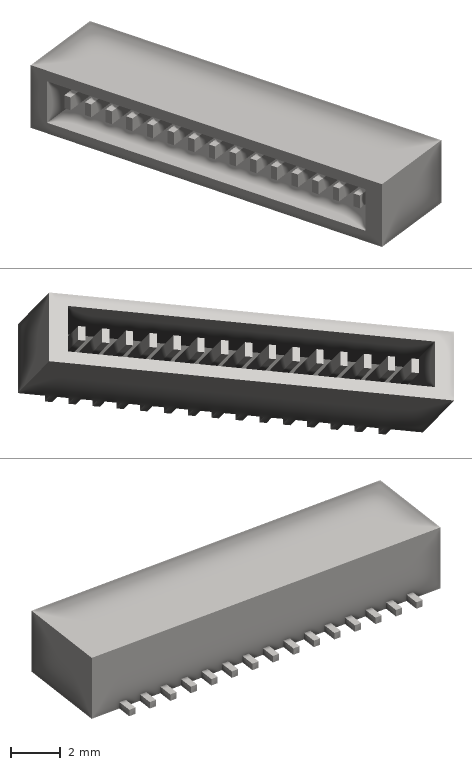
import cadquery as cq

housing_length = 17
housing_depth = 4.25
housing_height = 2.9

end_wall = 0.8
side_wall = 0.5
cavity_length = housing_length - 2 * end_wall
cavity_height = housing_height - 2 * side_wall
cavity_depth = housing_depth - end_wall

pin_count = 15
end_margin = 1.5
pin_pitch = housing_length / (pin_count - 1 + 2 * end_margin)
pin_width = 0.3
pin_height = 0.6
pin_setback = 0.4
pin_length = cavity_depth - pin_setback
tail_length = 0.7
tail_thickness = 0.3


def block(width, depth, height, x, front_y, bottom_z):
    """Box centred on x, running back from front_y and up from bottom_z."""
    box = cq.Workplane("XY").box(width, depth, height, centered=(True, False, False))
    return box.translate((x, front_y, bottom_z))


result = block(housing_length, housing_depth, housing_height, 0, 0, 0)
result = result.cut(block(cavity_length, cavity_depth, cavity_height, 0, 0, side_wall))

pin_bottom_z = (housing_height - pin_height) / 2
for i in range(pin_count):
    x = (i - (pin_count - 1) / 2) * pin_pitch
    pin = block(pin_width, pin_length, pin_height, x, pin_setback, pin_bottom_z)
    tail = block(pin_width, tail_length, tail_thickness, x, housing_depth, 0)
    result = result.union(pin).union(tail)